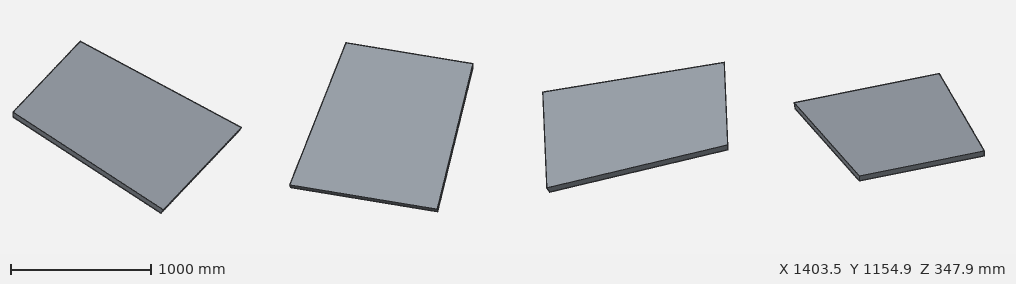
import cadquery as cq
import math


run = 1294.81
high_edge_length = 936.33
low_edge_back = 75.25
low_edge_front = 75.85
turn_angle = 6.66

thickness = 45.0
fall = 306.56

slope = fall / run
plumb_thickness = thickness * math.hypot(1.0, slope)
undercut_ratio = math.tan(2.0 * math.atan(slope))
low_face_drop = plumb_thickness / (1.0 + slope * undercut_ratio)
undercut = low_face_drop * undercut_ratio
height = fall + low_face_drop


def make_sloping_slab():
    """Section of the panel, extruded along the full length of the low edge."""
    section = [
        (0.0, 0.0),
        (run, -fall),
        (run - undercut, -height),
        (0.0, -plumb_thickness),
    ]
    slab_length = low_edge_back + high_edge_length + low_edge_front
    return (
        cq.Workplane("XZ", origin=(0, low_edge_back, 0))
        .polyline(section)
        .close()
        .extrude(slab_length)
    )


def make_plan_prism():
    """Vertical prism over the plan outline; its sides trim the slab plumb."""
    outline = [
        (0.0, 0.0),
        (run, low_edge_back),
        (run, -high_edge_length - low_edge_front),
        (0.0, -high_edge_length),
    ]
    return cq.Workplane("XY").polyline(outline).close().extrude(-height)


panel = make_sloping_slab().intersect(make_plan_prism())
result = panel.rotate((0, 0, 0), (0, 0, 1), turn_angle)